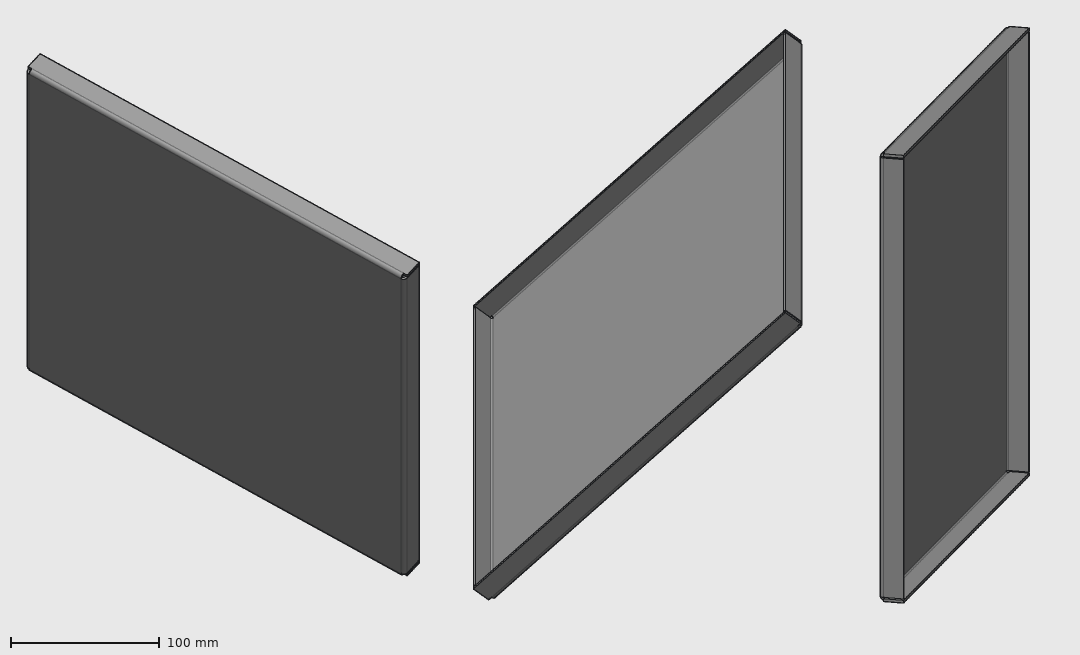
import cadquery as cq

side = 314.0
depth = 17.0
sheet = 2.0
bend_radius = 2.98

inner_radius = bend_radius - sheet
face_side = side - 2 * bend_radius
flange_depth = depth - bend_radius


def bent_flange(flat_length):
    """Quarter-round bend and straight flange along the top (+Z) edge of the face."""
    bend = (
        cq.Workplane("YZ", origin=(-face_side / 2, 0, 0))
        .center(bend_radius, face_side / 2)
        .circle(bend_radius)
        .circle(inner_radius)
        .extrude(face_side)
    )
    bend_quarter = (
        cq.Workplane("XY")
        .box(face_side, bend_radius, bend_radius, centered=(True, False, False))
        .translate((0, 0, face_side / 2))
    )
    flat = (
        cq.Workplane("XY")
        .box(flat_length, flange_depth, sheet, centered=(True, False, False))
        .translate((0, bend_radius, side / 2 - sheet))
    )
    return bend.intersect(bend_quarter).union(flat)


result = cq.Workplane("XY").box(face_side, sheet, face_side, centered=(True, False, True))

flange_pairs = ((side, (0, 180)), (face_side, (90, 270)))
for flat_length, angles in flange_pairs:
    flange = bent_flange(flat_length)
    for angle in angles:
        result = result.union(flange.rotate((0, 0, 0), (0, 1, 0), angle))